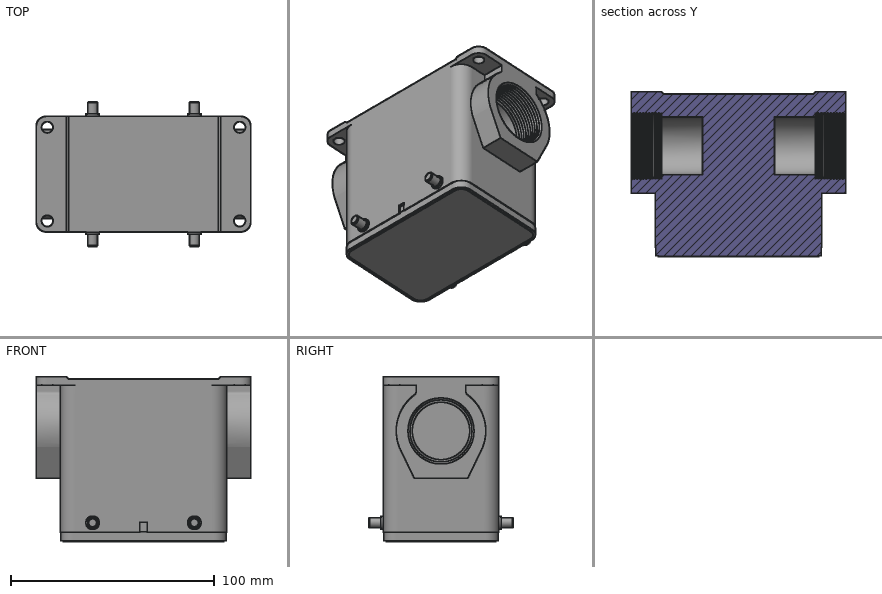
import cadquery as cq
import math

LENGTH = 105.5
HEIGHT = 81.0
WIDTH = 56.9
PIN_SPAN = 71.1

FLANGE_THICKNESS = 4.1
FLANGE_CORNER_RADIUS = 5.0
FLANGE_HOLE_DIAMETER = 5.5
FLANGE_HOLE_INSET = 5.5
RECESS_DEPTH = 1.1
RECESS_LENGTH = 73.5

BODY_LENGTH = 82.0
BODY_CORNER_RADIUS = 7.3
RIM_HEIGHT = 4.5
RIM_STEP = 0.3
RIM_CORNER_RADIUS = 6.0
LIP_HEIGHT = 0.4
LIP_INSET = 1.2

ENTRY_Z = 54.35
BOSS_RADIUS = 22.0
BOSS_BOTTOM_Z = 31.1
FLANK_DROP = 8.0
BOSS_BOTTOM_WIDTH = 26.3
BOSS_NECK_WIDTH = 24.4
NECK_FILLET_RADIUS = 2.2

THREAD_ROOT_RADIUS = 16.25
THREAD_CORE_RADIUS = 15.25
THREAD_PITCH = 1.5
THREAD_TURNS = 10
BORE_RADIUS = 14.1
BORE_DEPTH = 35.0

PIN_SPACING = 50.0
PIN_Z = 9.25
PIN_DIAMETER = 5.0
PIN_CHAMFER = 0.5
COLLAR_DIAMETER = 6.6
COLLAR_LENGTH = 1.1

NOTCH_WIDTH = 3.5
NOTCH_HEIGHT = 4.9
NOTCH_DEPTH = 1.3
NOTCH_SILL = 0.4

FLANGE_BOTTOM_Z = HEIGHT - FLANGE_THICKNESS
THREAD_DEPTH = THREAD_TURNS * THREAD_PITCH


def rounded_block(length, width, bottom, top, radius):
    """Upright block centred on Z with rounded vertical corners."""
    block = cq.Workplane("XY").workplane(offset=bottom).rect(length, width).extrude(top - bottom)
    return block.edges("|Z").fillet(radius)


def make_shell():
    """Body, stepped rim with its lip, and the flange with its top recess."""
    rim_length = BODY_LENGTH - 2 * RIM_STEP
    rim_width = WIDTH - 2 * RIM_STEP
    lip = rounded_block(rim_length - 2 * LIP_INSET, rim_width - 2 * LIP_INSET,
                        0, RIM_HEIGHT, RIM_CORNER_RADIUS - LIP_INSET)
    rim = rounded_block(rim_length, rim_width, LIP_HEIGHT, RIM_HEIGHT, RIM_CORNER_RADIUS)
    body = rounded_block(BODY_LENGTH, WIDTH, RIM_HEIGHT, FLANGE_BOTTOM_Z, BODY_CORNER_RADIUS)
    flange = rounded_block(LENGTH, WIDTH, FLANGE_BOTTOM_Z, HEIGHT, FLANGE_CORNER_RADIUS)

    hole_x = LENGTH / 2 - FLANGE_HOLE_INSET
    hole_y = WIDTH / 2 - FLANGE_HOLE_INSET
    holes = (
        cq.Workplane("XY").workplane(offset=FLANGE_BOTTOM_Z)
        .rect(2 * hole_x, 2 * hole_y, forConstruction=True).vertices()
        .circle(FLANGE_HOLE_DIAMETER / 2).extrude(FLANGE_THICKNESS)
    )
    half_floor = RECESS_LENGTH / 2
    half_opening = half_floor + RECESS_DEPTH
    floor_z = HEIGHT - RECESS_DEPTH
    recess = (
        cq.Workplane("XZ")
        .moveTo(-half_opening, HEIGHT)
        .lineTo(-half_floor, floor_z)
        .lineTo(half_floor, floor_z)
        .lineTo(half_opening, HEIGHT)
        .close().extrude(WIDTH / 2, both=True)
    )
    return lip.union(rim).union(body).union(flange.cut(holes).cut(recess))


def make_boss():
    """Cable entry boss on the -X side, running in to the body centre."""
    half_neck = BOSS_NECK_WIDTH / 2
    half_bottom = BOSS_BOTTOM_WIDTH / 2

    fillet_y = half_neck + NECK_FILLET_RADIUS
    centre_distance = BOSS_RADIUS + NECK_FILLET_RADIUS
    fillet_rise = math.sqrt(centre_distance ** 2 - fillet_y ** 2)
    touch_y = fillet_y * BOSS_RADIUS / centre_distance
    touch_z = ENTRY_Z + fillet_rise * BOSS_RADIUS / centre_distance
    fillet_z = ENTRY_Z + fillet_rise
    touch_angle = math.atan2(touch_z - fillet_z, touch_y - fillet_y)
    middle_angle = (touch_angle - math.pi) / 2
    fillet_middle_y = fillet_y + NECK_FILLET_RADIUS * math.cos(middle_angle)
    fillet_middle_z = fillet_z + NECK_FILLET_RADIUS * math.sin(middle_angle)

    flank_y = math.sqrt(BOSS_RADIUS ** 2 - FLANK_DROP ** 2)
    flank_z = ENTRY_Z - FLANK_DROP

    return (
        cq.Workplane("YZ").workplane(offset=-LENGTH / 2)
        .moveTo(half_neck, FLANGE_BOTTOM_Z)
        .lineTo(half_neck, fillet_z)
        .threePointArc((fillet_middle_y, fillet_middle_z), (touch_y, touch_z))
        .threePointArc((BOSS_RADIUS, ENTRY_Z), (flank_y, flank_z))
        .lineTo(half_bottom, BOSS_BOTTOM_Z)
        .lineTo(-half_bottom, BOSS_BOTTOM_Z)
        .lineTo(-flank_y, flank_z)
        .threePointArc((-BOSS_RADIUS, ENTRY_Z), (-touch_y, touch_z))
        .threePointArc((-fillet_middle_y, fillet_middle_z), (-half_neck, fillet_z))
        .lineTo(-half_neck, FLANGE_BOTTOM_Z)
        .close().extrude(LENGTH / 2)
    )


def make_bore():
    """Blind bore of the -X boss, its threads cut as a row of V grooves."""
    face_x = -LENGTH / 2
    profile = cq.Workplane("XZ").moveTo(face_x, 0).lineTo(face_x, THREAD_ROOT_RADIUS)
    for turn in range(THREAD_TURNS):
        crest_x = face_x + (turn + 0.5) * THREAD_PITCH
        root_x = face_x + (turn + 1) * THREAD_PITCH
        profile = profile.lineTo(crest_x, THREAD_CORE_RADIUS).lineTo(root_x, THREAD_ROOT_RADIUS)
    thread_end_x = face_x + THREAD_DEPTH
    bore_end_x = face_x + BORE_DEPTH
    profile = (
        profile
        .lineTo(thread_end_x, BORE_RADIUS)
        .lineTo(bore_end_x, BORE_RADIUS)
        .lineTo(bore_end_x, 0)
        .close()
    )
    return profile.revolve(360, (0, 0, 0), (1, 0, 0)).translate((0, 0, ENTRY_Z))


def make_pin(x):
    """Locking pin with its collar, standing on the -Y wall."""
    wall = cq.Workplane("XZ", origin=(x, -WIDTH / 2, PIN_Z))
    collar = wall.circle(COLLAR_DIAMETER / 2).extrude(COLLAR_LENGTH)
    pin = wall.circle(PIN_DIAMETER / 2).extrude((PIN_SPAN - WIDTH) / 2)
    return collar.union(pin.faces("<Y").chamfer(PIN_CHAMFER))


def make_notch():
    """Latch notch cut into the -Y wall just above the rim."""
    top_z = RIM_HEIGHT + NOTCH_HEIGHT

    def pocket(bottom, depth):
        height = top_z - bottom
        block = cq.Workplane("XY").box(NOTCH_WIDTH, depth, height, centered=(True, False, False))
        return block.translate((0, -WIDTH / 2, bottom))

    return pocket(RIM_HEIGHT, RIM_STEP).union(pocket(RIM_HEIGHT + NOTCH_SILL, NOTCH_DEPTH))


result = make_shell()

boss = make_boss()
result = result.union(boss).union(boss.mirror("YZ"))

bore = make_bore()
result = result.cut(bore).cut(bore.mirror("YZ"))

for pin_x in (-PIN_SPACING / 2, PIN_SPACING / 2):
    locking_pin = make_pin(pin_x)
    result = result.union(locking_pin).union(locking_pin.mirror("XZ"))

notch = make_notch()
result = result.cut(notch).cut(notch.mirror("XZ"))